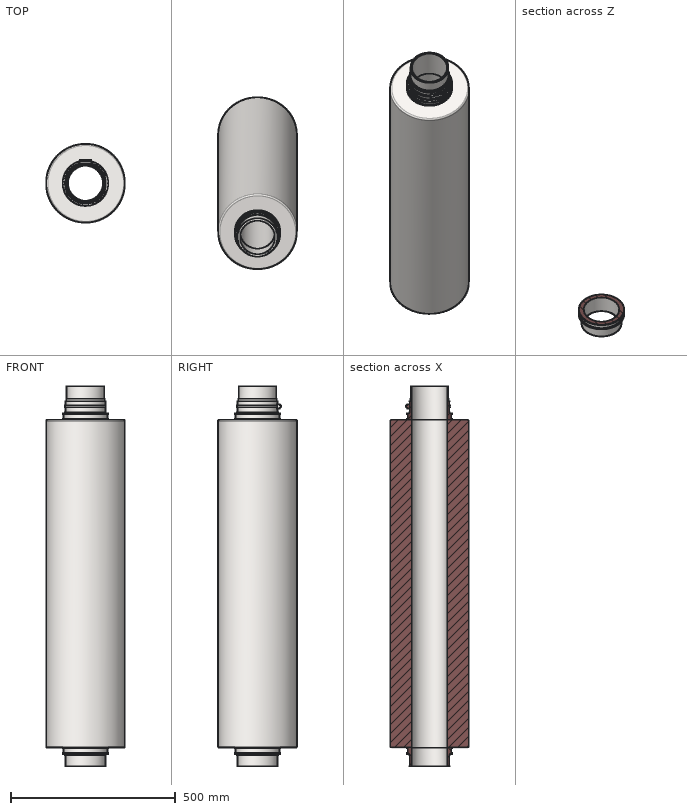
import cadquery as cq

total_length = 1155.0
casing_radius = 120.0
casing_length = 997.0
edge_round = 5.0
bore_radius = 53.0

spigot_radius = 61.0
collar_radius = 67.0
rim_radius = 69.0
base_rim_height = 2.0
rim_start = 16.0
rim_height = 3.0
lip_radius = 62.0
lip_height = 3.0
spigot_length = 57.0

neck_radius = 58.0
shoulder_radius = 59.0
shoulder_height = 7.0

band_radius = 62.0
band_width = 7.0
band_height = 40.0
saddle_width = 14.0
saddle_length = 35.0
saddle_reach = 67.0
screw_radius = 5.0

casing_bottom = -total_length / 2 + spigot_length
casing_top = casing_bottom + casing_length
neck_top = total_length / 2
band_z = casing_top + band_height


def cylinder(radius, bottom, height):
    return cq.Workplane("XY").workplane(offset=bottom).circle(radius).extrude(height)


def revolve_profile(points):
    """Turn a closed outline of (radius, height) points around the Z axis."""
    return cq.Workplane("XZ").polyline(points).close().revolve(360, (0, 0), (0, 1))


def make_casing():
    casing = cylinder(casing_radius, casing_bottom, casing_length).edges().fillet(edge_round)
    return casing.cut(cylinder(bore_radius, casing_bottom, casing_length))


def make_connector():
    """Collar and spigot standing on Z = 0, with the free end upward."""
    rim_top = rim_start + rim_height
    return revolve_profile([
        (bore_radius, 0),
        (rim_radius, 0),
        (rim_radius, base_rim_height),
        (collar_radius, base_rim_height),
        (collar_radius, rim_start),
        (rim_radius, rim_start),
        (rim_radius, rim_top),
        (lip_radius, rim_top),
        (lip_radius, rim_top + lip_height),
        (spigot_radius, rim_top + lip_height),
        (spigot_radius, spigot_length),
        (bore_radius, spigot_length),
    ])


def make_neck():
    """Low shoulder and straight neck that continue the upper spigot."""
    neck_bottom = casing_top + spigot_length
    return revolve_profile([
        (bore_radius, neck_bottom),
        (shoulder_radius, neck_bottom),
        (shoulder_radius, neck_bottom + shoulder_height),
        (neck_radius, neck_bottom + shoulder_height),
        (neck_radius, neck_top),
        (bore_radius, neck_top),
    ])


def make_clamp():
    """Band around the upper spigot, with a saddle and a tangential screw on the +Y side."""
    band_bottom = band_z - band_width / 2
    band = cylinder(band_radius, band_bottom, band_width)
    saddle_depth = saddle_reach - neck_radius
    saddle = (
        cq.Workplane("XY")
        .box(saddle_length, saddle_depth, saddle_width)
        .translate((0, saddle_reach - saddle_depth / 2, band_z))
    )
    screw = (
        cq.Workplane("YZ")
        .center(saddle_reach, band_z)
        .circle(screw_radius)
        .extrude(saddle_length / 2, both=True)
    )
    spigot_space = cylinder(spigot_radius, casing_top, spigot_length)
    return band.union(saddle).union(screw).cut(spigot_space)


casing = make_casing()
lower_connector = make_connector().mirror("XY").translate((0, 0, casing_bottom))
upper_connector = make_connector().translate((0, 0, casing_top)).union(make_neck())
clamp = make_clamp()

result = cq.Compound.makeCompound([
    casing.val(),
    lower_connector.val(),
    upper_connector.val(),
    clamp.val(),
])